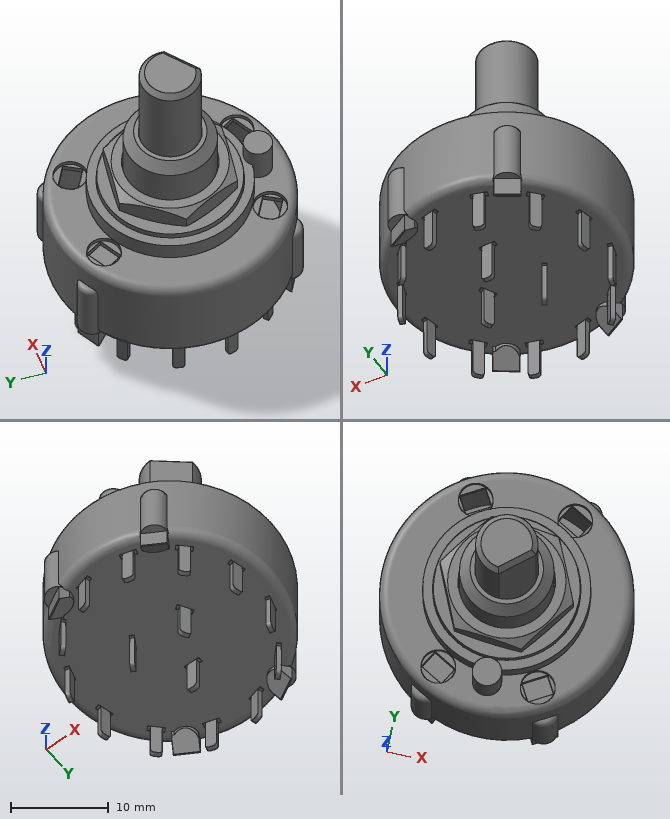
import cadquery as cq
import math


BODY_BOTTOM = 4.8
BODY_TOP = 15.05
BOSS_TOP = 17.05
WASHER_TOP = 17.6
NUT_TOP = 20.02
BUSHING_TOP = 25.05
SHAFT_TOP = 35.0

BODY_D = 26.0
TOP_FACE_D = 24.0
BODY_FILLET = (BODY_D - TOP_FACE_D) / 2
WALL = BODY_FILLET

BOSS_D = 17.2
SEAT_D = 15.15
SEAT_DEPTH = 0.42
WASHER_D = 15.0

NUT_CORNER_D = 14.35
NUT_FACE_D = 12.08
NUT_HOLE_D = 9.95
NUT_TURN = -5.9
NUT_CHAMFER_ANGLE = 29.0

BUSHING_D = 9.65
BUSHING_CHAMFER = 1.1
BORE_D = 6.5
SHAFT_D = 6.37
SHAFT_CHAMFER = 0.55
FLAT_DISTANCE = 2.35
FLAT_ANGLE = -50.0

POST_D = 3.0
POST_TOP = 19.0
POST_RADIUS = 9.5

CORNER_ANGLES = (60, 120, 240, 300)

RECESS_D = 3.55
RECESS_RADIUS = 10.4
RECESS_DEPTH = 0.45
SLOT_WIDTH = 2.75
SLOT_LENGTH = 2.1

LEG_D = 3.0
LEG_RADIUS = 12.3
LEG_TOP = 12.05
LEG_FILLET = 0.52
FOOT_TOP = 5.0
FOOT_BOTTOM = 2.8
FOOT_FACE_RADIUS = 12.88
FOOT_TIP = 0.15
RAMP_TOP = 4.48
FOOT_CORNER_LENGTH = 1.65

PIN_WIDTH = 1.22
PIN_THICKNESS = 0.52
PIN_TIP_FILLET = 0.42
PIN_EMBED = 0.7
SHOULDER_WIDTH = 1.82
SHOULDER_DROP = 0.1
OUTER_PIN_COUNT = 12
OUTER_PIN_RADIUS = 11.1
OUTER_PIN_START = 15
INNER_PIN_COUNT = 3
INNER_PIN_RADIUS = 3.85
INNER_PIN_START = 90


def cylinder(diameter, bottom, top):
    return cq.Workplane("XY").workplane(offset=bottom).circle(diameter / 2).extrude(top - bottom)


def place(shape, radius, angle):
    """Move a shape out along +X, then turn it about the Z axis."""
    return shape.translate((radius, 0, 0)).rotate((0, 0, 0), (0, 0, 1), angle)


def make_cavity():
    return cylinder(BODY_D - 2 * WALL, BODY_BOTTOM + WALL, BODY_TOP - WALL)


def make_body():
    body = cylinder(BODY_D, BODY_BOTTOM, BODY_TOP)
    body = body.faces("|Z").edges().fillet(BODY_FILLET)
    return body.cut(make_cavity())


def make_boss():
    boss = cylinder(BOSS_D, BODY_TOP, BOSS_TOP)
    seat = cylinder(SEAT_D, BOSS_TOP - SEAT_DEPTH, BOSS_TOP)
    washer = cylinder(WASHER_D, BOSS_TOP - SEAT_DEPTH, WASHER_TOP)
    return boss.cut(seat).union(washer)


def make_nut():
    height = NUT_TOP - WASHER_TOP
    hexagon = cq.Workplane("XY").workplane(offset=WASHER_TOP).polygon(6, NUT_CORNER_D).extrude(height)
    face_r = NUT_FACE_D / 2
    corner_r = NUT_CORNER_D / 2
    bevel = (corner_r - face_r) * math.tan(math.radians(NUT_CHAMFER_ANGLE))
    envelope = (
        cq.Workplane("XZ")
        .moveTo(0, WASHER_TOP)
        .lineTo(face_r, WASHER_TOP)
        .lineTo(corner_r, WASHER_TOP + bevel)
        .lineTo(corner_r, NUT_TOP - bevel)
        .lineTo(face_r, NUT_TOP)
        .lineTo(0, NUT_TOP)
        .close()
        .revolve(360, (0, 0, 0), (0, 1, 0))
    )
    nut = hexagon.intersect(envelope).cut(cylinder(NUT_HOLE_D, WASHER_TOP, NUT_TOP))
    return nut.rotate((0, 0, 0), (0, 0, 1), NUT_TURN)


def make_bushing():
    bushing = cylinder(BUSHING_D, WASHER_TOP, BUSHING_TOP)
    bushing = bushing.faces(">Z").edges().chamfer(BUSHING_CHAMFER)
    return bushing.cut(cylinder(BORE_D, WASHER_TOP, BUSHING_TOP))


def make_shaft():
    shaft = cylinder(SHAFT_D, WASHER_TOP, SHAFT_TOP)
    beyond_flat = (
        cq.Workplane("XY")
        .box(SHAFT_D, SHAFT_D, SHAFT_TOP - WASHER_TOP, centered=(False, True, False))
        .translate((FLAT_DISTANCE, 0, WASHER_TOP))
    )
    shaft = shaft.cut(beyond_flat).faces(">Z").edges().chamfer(SHAFT_CHAMFER)
    return shaft.rotate((0, 0, 0), (0, 0, 1), FLAT_ANGLE)


def make_recess():
    recess_floor = BODY_TOP - RECESS_DEPTH
    slot = (
        cq.Workplane("XY")
        .workplane(offset=BODY_TOP - WALL)
        .rect(SLOT_LENGTH, SLOT_WIDTH)
        .extrude(WALL - RECESS_DEPTH)
    )
    return cylinder(RECESS_D, recess_floor, BODY_TOP).union(slot)


def make_leg():
    """Round leg; its foot has flat sides, a squared corner on +Y and an inner ramp to a thin tip."""
    leg = cylinder(LEG_D, FOOT_TOP, LEG_TOP).faces(">Z").edges().fillet(LEG_FILLET)
    face_x = FOOT_FACE_RADIUS - LEG_RADIUS
    half_width = math.sqrt((LEG_D / 2) ** 2 - face_x**2)
    profile = (
        cq.Workplane("XZ")
        .moveTo(-LEG_D / 2, FOOT_TOP)
        .lineTo(-LEG_D / 2, RAMP_TOP)
        .lineTo(face_x - FOOT_TIP, FOOT_BOTTOM)
        .lineTo(face_x, FOOT_BOTTOM)
        .lineTo(face_x, FOOT_TOP)
        .close()
        .extrude(half_width, both=True)
    )
    corner = (
        cq.Workplane("XY")
        .box(FOOT_CORNER_LENGTH, half_width, FOOT_TOP - FOOT_BOTTOM, centered=False)
        .translate((face_x - FOOT_CORNER_LENGTH, 0, FOOT_BOTTOM))
    )
    foot = cylinder(LEG_D, FOOT_BOTTOM, FOOT_TOP).union(corner).intersect(profile)
    return leg.union(foot).cut(make_cavity().translate((-LEG_RADIUS, 0, 0)))


def make_pin():
    """Flat pin, thin along X, with a wider shoulder just below the body."""
    top = BODY_BOTTOM + PIN_EMBED
    blade = cq.Workplane("XY").box(PIN_THICKNESS, PIN_WIDTH, top, centered=(True, True, False))
    blade = blade.faces("<Z").edges("|X").fillet(PIN_TIP_FILLET)
    shoulder = (
        cq.Workplane("XY")
        .box(PIN_THICKNESS, SHOULDER_WIDTH, SHOULDER_DROP + PIN_EMBED, centered=(True, True, False))
        .translate((0, 0, BODY_BOTTOM - SHOULDER_DROP))
    )
    return blade.union(shoulder)


def add_pin_ring(part, count, radius, start_angle):
    pin = make_pin()
    for i in range(count):
        part = part.union(place(pin, radius, start_angle + i * 360 / count))
    return part


leg = make_leg()
mirrored_leg = leg.mirror("XZ")

result = make_body()
for corner_angle in CORNER_ANGLES:
    corner_leads = math.sin(math.radians(2 * corner_angle)) < 0
    result = result.union(place(leg if corner_leads else mirrored_leg, LEG_RADIUS, corner_angle))
    result = result.cut(place(make_recess(), RECESS_RADIUS, corner_angle))

result = result.union(make_boss())
result = result.union(place(cylinder(POST_D, BODY_TOP, POST_TOP), POST_RADIUS, -90))
result = result.union(make_bushing()).union(make_nut()).union(make_shaft())

result = add_pin_ring(result, OUTER_PIN_COUNT, OUTER_PIN_RADIUS, OUTER_PIN_START)
result = add_pin_ring(result, INNER_PIN_COUNT, INNER_PIN_RADIUS, INNER_PIN_START)